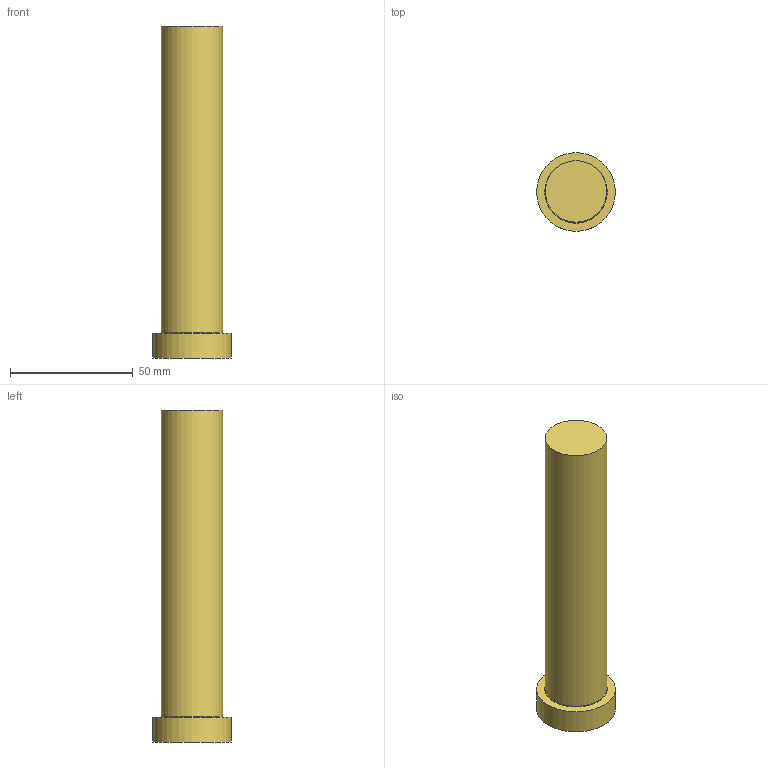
import cadquery as cq
import math

total_length = 135.0
head_diameter = 32.0
head_height = 10.0
shank_diameter = 25.0
neck_fillet_radius = 0.2

head_radius = head_diameter / 2
shank_radius = shank_diameter / 2


def half_profile():
    """Half section of the headed pin in the XZ plane, with the head standing on Z = 0."""
    arc_inset = neck_fillet_radius * (1 - math.cos(math.pi / 4))
    arc_middle = (shank_radius + arc_inset, head_height + arc_inset)
    return (
        cq.Workplane("XZ")
        .moveTo(0, 0)
        .lineTo(head_radius, 0)
        .lineTo(head_radius, head_height)
        .lineTo(shank_radius + neck_fillet_radius, head_height)
        .threePointArc(arc_middle, (shank_radius, head_height + neck_fillet_radius))
        .lineTo(shank_radius, total_length)
        .lineTo(0, total_length)
        .close()
    )


result = half_profile().revolve(360, (0, 0, 0), (0, 1, 0))